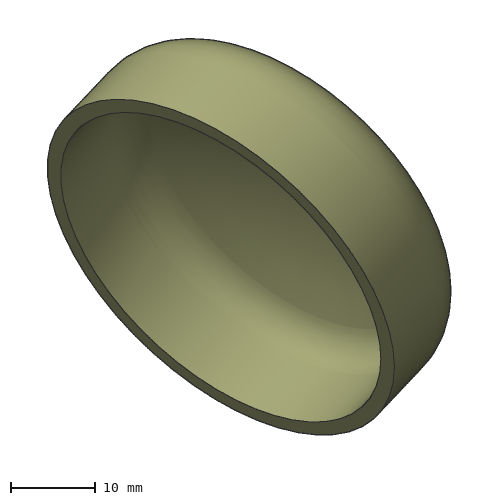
import cadquery as cq
import math

outer_diameter = 51.0
inner_diameter = 47.0
skirt_height = 9.0
crown_radius_inner = outer_diameter
knuckle_radius_inner = outer_diameter / 10

wall = (outer_diameter - inner_diameter) / 2

knuckle_center_x = inner_diameter / 2 - knuckle_radius_inner
center_distance = crown_radius_inner - knuckle_radius_inner
blend_angle = math.asin(knuckle_center_x / center_distance)
crown_center_y = skirt_height - center_distance * math.cos(blend_angle)


def knuckle_point(radius, angle):
    """Point on a knuckle arc, with the angle measured from the +Y axis."""
    return (
        knuckle_center_x + radius * math.sin(angle),
        skirt_height + radius * math.cos(angle),
    )


def crown_point(radius, angle):
    """Point on a crown arc, with the angle measured from the +Y axis."""
    return (radius * math.sin(angle), crown_center_y + radius * math.cos(angle))


def cap_body(offset):
    """Solid bounded by the inner surface of the cap moved outwards by offset."""
    knuckle_radius = knuckle_radius_inner + offset
    crown_radius = crown_radius_inner + offset
    skirt_radius = inner_diameter / 2 + offset
    knuckle_mid_angle = (blend_angle + math.pi / 2) / 2
    profile = (
        cq.Workplane("XY")
        .lineTo(skirt_radius, 0)
        .lineTo(skirt_radius, skirt_height)
        .threePointArc(
            knuckle_point(knuckle_radius, knuckle_mid_angle),
            knuckle_point(knuckle_radius, blend_angle),
        )
        .threePointArc(
            crown_point(crown_radius, blend_angle / 2),
            crown_point(crown_radius, 0),
        )
        .close()
    )
    return profile.revolve(360, (0, 0, 0), (0, 1, 0))


result = cap_body(wall).cut(cap_body(0))